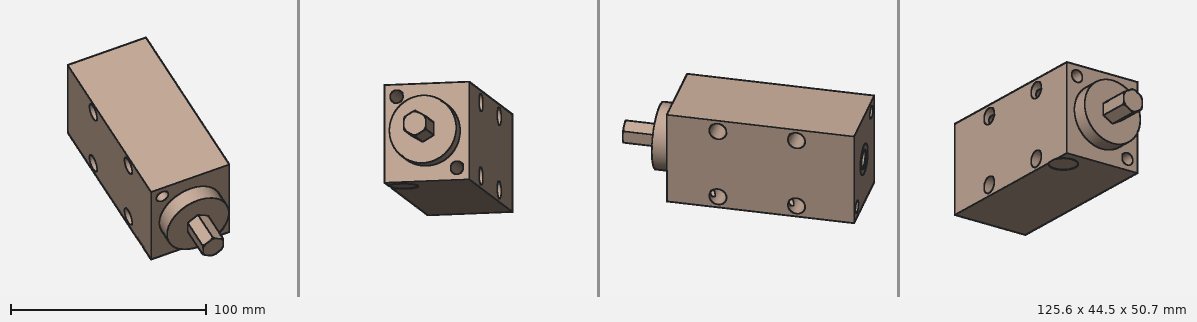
import cadquery as cq
import math

total_length = 125.6
collar_length = 9.0
hex_length = 18.1
body_length = total_length - collar_length - hex_length
body_width = 44.5
body_height = 50.7

collar_diameter = 35.0
hex_across_flats = 11.5
hex_across_corners = hex_across_flats / math.cos(math.pi / 6)
hex_chamfer = 0.6

mount_diameter = 9.0
mount_x_positions = (30.3, 71.6)
hole_row_z = 19.1

long_hole_diameter = 6.8
long_hole_y = 15.8

port_diameter = 9.4
port_depth = 12.5
port_tip_angle = 118.0
port_chamfer = 0.5
port_face_diameter = 16.5
port_face_depth = 0.1

spotface_radius = 7.5
spotface_depth = 0.4
spotface_x = body_length - 12.8
spotface_opening = 5.5


def cylinder_along_x(diameter, start, length, y=0.0, z=0.0):
    return (
        cq.Workplane("YZ", origin=(start, y, z))
        .circle(diameter / 2)
        .extrude(length)
    )


def make_body():
    return cq.Workplane("XY").box(
        body_length, body_width, body_height, centered=(False, True, True)
    )


def make_hex_end():
    """Hexagon with corners toward +Z and -Z and a turned chamfer on its free end."""
    start = body_length + collar_length
    hexagon = (
        cq.Workplane("YZ", origin=(start, 0, 0))
        .transformed(rotate=(0, 0, 90))
        .polygon(6, hex_across_corners)
        .extrude(hex_length)
    )
    turned = cylinder_along_x(hex_across_corners, start, hex_length)
    return hexagon.intersect(turned.faces(">X").chamfer(hex_chamfer, hex_chamfer))


def make_mounting_holes():
    centers = [(x, z) for x in mount_x_positions for z in (-hole_row_z, hole_row_z)]
    return (
        cq.Workplane("XZ")
        .pushPoints(centers)
        .circle(mount_diameter / 2)
        .extrude(body_width, both=True)
    )


def make_port():
    """Shallow face recess, chamfered bore and conical drill tip, revolved about X."""
    radius = port_diameter / 2
    tip_length = radius / math.tan(math.radians(port_tip_angle / 2))
    mouth_x = port_face_depth
    return (
        cq.Workplane("XY")
        .moveTo(0, 0)
        .lineTo(0, port_face_diameter / 2)
        .lineTo(mouth_x, port_face_diameter / 2)
        .lineTo(mouth_x, radius + port_chamfer)
        .lineTo(mouth_x + port_chamfer, radius)
        .lineTo(port_depth, radius)
        .lineTo(port_depth + tip_length, 0)
        .close()
        .revolve(360, (0, 0, 0), (1, 0, 0))
    )


def make_spotface():
    inset = math.sqrt(spotface_radius**2 - (spotface_opening / 2) ** 2)
    return (
        cq.Workplane("XY", origin=(spotface_x, inset - body_width / 2, -body_height / 2))
        .circle(spotface_radius)
        .extrude(spotface_depth)
    )


collar = cylinder_along_x(collar_diameter, body_length, collar_length)
result = make_body().union(collar).union(make_hex_end())

result = result.cut(make_mounting_holes()).cut(make_port()).cut(make_spotface())
for side in (-1, 1):
    long_hole = cylinder_along_x(
        long_hole_diameter, 0, body_length, side * long_hole_y, -side * hole_row_z
    )
    result = result.cut(long_hole)